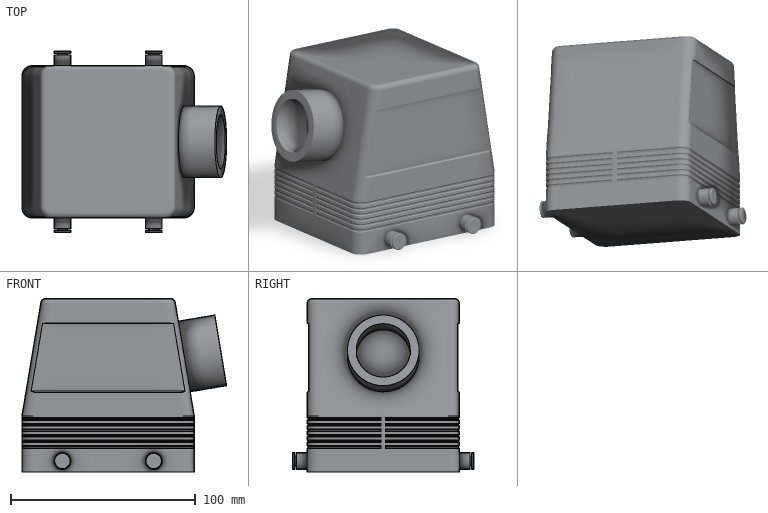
import cadquery as cq
import math

length = 93.4
width = 82.5
height = 94.0
skirt_height = 30.3
face_lean = 9.5
corner_radius = 5.9
roof_radius = 2.8

band_bottom = 12.6
band_top = 29.6
groove_depth = 0.5
ring_overhang = 1.1
rib_count = 5
rib_thickness = 1.4
rib_pitch = 3.0
web_width = 2.5

panel_bottom = 43.0
panel_top = 80.7
panel_depth = 0.9
panel_bottom_slope = 0.9
panel_top_slope = 0.3

pin_spacing = 49.5
pin_height = 6.0
pin_diameter = 9.1
shank_length = 5.8
neck_diameter = 5.5
neck_length = 0.8
pin_length = 8.0
pin_head_chamfer = 0.3

entry_diameter = 38.8
entry_bore = 29.3
entry_mouth_x = 61.0
entry_mouth_z = 65.9
entry_root = 1.1

half_length = length / 2
half_width = width / 2
lean = math.radians(face_lean)
roof_half_length = half_length - (height - skirt_height) * math.tan(lean)


def skirt_slab(inset, bottom, thickness):
    """Slice of the skirt outline, moved inward by the inset."""
    return (
        cq.Workplane("XY", origin=(0, 0, bottom))
        .rect(length - 2 * inset, width - 2 * inset)
        .extrude(thickness)
        .edges("|Z")
        .fillet(corner_radius - inset)
    )


def make_body():
    """Straight skirt topped by a hood whose X faces lean inward."""
    hood = (
        cq.Workplane("XZ")
        .moveTo(-half_length, skirt_height)
        .lineTo(half_length, skirt_height)
        .lineTo(roof_half_length, height)
        .lineTo(-roof_half_length, height)
        .close()
        .extrude(half_width, both=True)
        .edges("not (|X or |Y)")
        .fillet(corner_radius)
        .faces(">Z")
        .edges()
        .fillet(roof_radius)
    )
    return skirt_slab(0, 0, skirt_height).union(hood)


def make_groove(bottom, top):
    """Ring around the skirt whose walls slope at 45 degrees to a flat floor."""
    upper_wall_bottom = top - groove_depth
    ring = skirt_slab(-ring_overhang, bottom, top - bottom)
    core = skirt_slab(groove_depth, bottom, top - bottom)
    lower_wall = skirt_slab(0, 0, bottom + groove_depth).faces(">Z").edges().chamfer(groove_depth)
    upper_wall = (
        skirt_slab(0, upper_wall_bottom, skirt_height - upper_wall_bottom)
        .faces("<Z")
        .edges()
        .chamfer(groove_depth)
    )
    return ring.cut(core).cut(lower_wall).cut(upper_wall)


def cut_grip_band(body):
    """Cut the grooves that leave the ribs, sparing a web on each X face."""
    band_middle = (band_bottom + band_top) / 2
    webs = cq.Workplane("XY").rect(length, web_width).extrude(skirt_height)
    groove_bottom = band_bottom
    for index in range(rib_count):
        rib_middle = band_middle + (index - (rib_count - 1) / 2) * rib_pitch
        body = body.cut(make_groove(groove_bottom, rib_middle - rib_thickness / 2).cut(webs))
        groove_bottom = rib_middle + rib_thickness / 2
    return body.cut(make_groove(groove_bottom, band_top).cut(webs))


def make_panel_cut():
    """Recess in the -Y face, running out through the rounded corners."""
    floor_y = -half_width + panel_depth
    return (
        cq.Workplane("YZ")
        .moveTo(-half_width, panel_bottom)
        .lineTo(floor_y, panel_bottom + panel_bottom_slope)
        .lineTo(floor_y, panel_top - panel_top_slope)
        .lineTo(-half_width, panel_top)
        .close()
        .extrude(length, both=True)
    )


def make_pin(x):
    """Grooved pin standing out of the -Y face."""
    pin_plane = cq.Workplane("XZ", origin=(x, -half_width, pin_height))
    neck = pin_plane.circle(neck_diameter / 2).extrude(pin_length)
    shank = pin_plane.circle(pin_diameter / 2).extrude(shank_length)
    head = (
        pin_plane.workplane(offset=shank_length + neck_length)
        .circle(pin_diameter / 2)
        .extrude(pin_length - shank_length - neck_length)
        .edges()
        .chamfer(pin_head_chamfer)
    )
    return neck.union(shank).union(head)


wall_x_at_mouth = half_length - (entry_mouth_z - skirt_height) * math.tan(lean)
entry_length = (entry_mouth_x - wall_x_at_mouth) * math.cos(lean)

entry_plane = cq.Workplane(
    cq.Plane(
        origin=(entry_mouth_x, 0, entry_mouth_z),
        xDir=(0, 1, 0),
        normal=(-math.cos(lean), 0, -math.sin(lean)),
    )
)
entry = entry_plane.circle(entry_diameter / 2).extrude(entry_length + entry_root)
bore = entry_plane.circle(entry_bore / 2).extrude(entry_length)

panel_cut = make_panel_cut()
result = (
    cut_grip_band(make_body())
    .cut(panel_cut)
    .cut(panel_cut.mirror("XZ"))
    .union(entry)
    .cut(bore)
)

for pin_x in (-pin_spacing / 2, pin_spacing / 2):
    pin = make_pin(pin_x)
    result = result.union(pin).union(pin.mirror("XZ"))